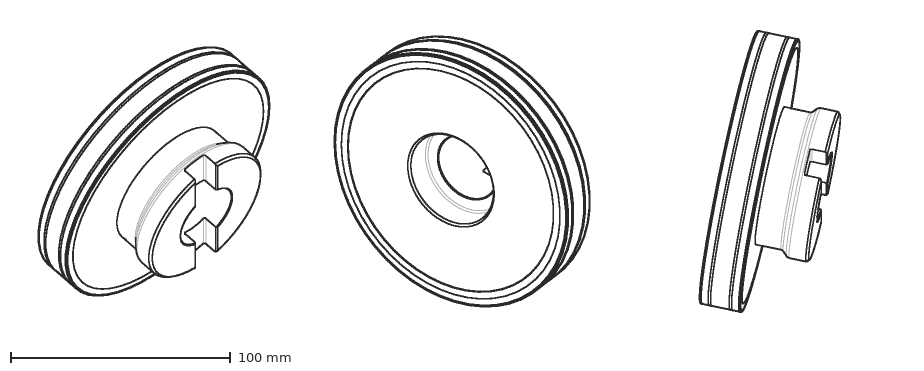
import cadquery as cq

DISC_D = 127.0
DISC_WIDTH = 19.0
FACE_RELIEF = 0.3
RIM_RELIEF = 0.06
FACE_RELIEF_D = 111.6
FACE_RELIEF_CHAMFER = 0.19
RIM_LAND = 5.2

RING_SIZE = 4.1
RING_LIP_INNER_D = 125.3
RING_LIP = (DISC_D - RING_LIP_INNER_D) / 2
RING_RELIEF = 0.06
RING_CHAMFER = 0.3

LENGTH = 44.5
NECK_D = 64.0
COLLAR_D = 69.8
NECK_END = 31.6
NECK_FILLET = 1.7
COLLAR_FILLET = 2.0
COLLAR_CHAMFER = 1.1

BORE_D = 31.8
BORE_CHAMFER = 0.4
RECESS_D = 45.0
RECESS_DEPTH = 14.0
RECESS_CHAMFER = 1.0
RECESS_FILLET = 0.9

SLOT_WIDTH = 12.7
SLOT_DEPTH = 8.1
SLOT_FILLET = 0.8
SLOT_MOUTH_CHAMFER = 0.6


def cylinder(start, end, diameter):
    """Solid cylinder about the X axis between two X positions."""
    return cq.Workplane("YZ", origin=(start, 0, 0)).circle(diameter / 2).extrude(end - start)


def tube(start, end, outer_d, inner_d):
    """Plain tube about the X axis between two X positions."""
    return cylinder(start, end, outer_d).cut(cylinder(start, end, inner_d))


def circle_edges(x, diameter):
    """Selector for the circular edge of a given diameter lying at X = x."""
    reach = diameter / 2 + 0.01
    inner = diameter / 2 - 0.01
    outer_box = cq.selectors.BoxSelector((x - 0.01, -reach, -reach), (x + 0.01, reach, reach), True)
    inner_box = cq.selectors.BoxSelector((x - 0.01, -inner, -inner), (x + 0.01, inner, inner), True)
    return outer_box - inner_box


def make_hub_blank():
    """Disc, neck, cone and collar turned about the X axis."""
    neck_r = NECK_D / 2
    collar_r = COLLAR_D / 2
    cone_end = NECK_END + collar_r - neck_r
    profile = [
        (0, 0),
        (0, DISC_D / 2),
        (DISC_WIDTH, DISC_D / 2),
        (DISC_WIDTH, neck_r),
        (NECK_END, neck_r),
        (cone_end, collar_r),
        (LENGTH, collar_r),
        (LENGTH, 0),
    ]
    blank = cq.Workplane("XY").polyline(profile).close().revolve(360, (0, 0, 0), (1, 0, 0))
    blank = blank.edges(circle_edges(NECK_END, NECK_D)).fillet(NECK_FILLET)
    blank = blank.edges(circle_edges(cone_end, COLLAR_D)).fillet(COLLAR_FILLET)
    return blank.edges(circle_edges(LENGTH, COLLAR_D)).chamfer(COLLAR_CHAMFER)


def cut_reliefs(body):
    """Shallow reliefs in the middle of the front face and of the rim."""
    body = body.cut(cylinder(0, FACE_RELIEF, FACE_RELIEF_D))
    body = body.edges(circle_edges(0, FACE_RELIEF_D)).chamfer(FACE_RELIEF_CHAMFER)
    rim_relief = tube(RIM_LAND, DISC_WIDTH - RIM_LAND, DISC_D, DISC_D - 2 * RIM_RELIEF)
    return body.cut(rim_relief)


def cut_bore(body):
    """Through bore with a wider recess in the front face."""
    body = body.cut(cylinder(0, LENGTH, BORE_D))
    body = body.cut(cylinder(0, RECESS_DEPTH, RECESS_D))
    body = body.edges(circle_edges(FACE_RELIEF, RECESS_D)).chamfer(RECESS_CHAMFER)
    body = body.edges(circle_edges(RECESS_DEPTH, RECESS_D)).fillet(RECESS_FILLET)
    for x in (RECESS_DEPTH, LENGTH):
        body = body.edges(circle_edges(x, BORE_D)).chamfer(BORE_CHAMFER)
    return body


def cut_slot(body):
    """Driving slot through the rear end of the hub, with rounded floor corners and a chamfered mouth."""
    floor = LENGTH - SLOT_DEPTH
    half = SLOT_WIDTH / 2
    flare = half + SLOT_MOUTH_CHAMFER
    profile = [
        (floor, -half),
        (LENGTH - SLOT_MOUTH_CHAMFER, -half),
        (LENGTH, -flare),
        (LENGTH, flare),
        (LENGTH - SLOT_MOUTH_CHAMFER, half),
        (floor, half),
    ]
    slot = cq.Workplane("XY").polyline(profile).close().extrude(COLLAR_D / 2, both=True)
    return body.cut(slot.edges("<X and |Z").fillet(SLOT_FILLET))


def cut_ring_seats(body):
    """Square rebates in both disc edges for the corner rings."""
    for start in (0, DISC_WIDTH - RING_SIZE):
        body = body.cut(tube(start, start + RING_SIZE, DISC_D, DISC_D - 2 * RING_SIZE))
    return body


def make_front_ring():
    """Front corner ring: a slim chamfered lip stands proud along its exposed corner."""
    outer_r = DISC_D / 2
    inner_r = outer_r - RING_SIZE
    lip_r = RING_LIP_INNER_D / 2
    profile = [
        (RING_RELIEF, inner_r),
        (RING_RELIEF, lip_r),
        (0, lip_r),
        (0, outer_r - RING_CHAMFER),
        (RING_CHAMFER, outer_r),
        (RING_LIP, outer_r),
        (RING_LIP, outer_r - RING_RELIEF),
        (RING_SIZE, outer_r - RING_RELIEF),
        (RING_SIZE, inner_r),
    ]
    return cq.Workplane("XY").polyline(profile).close().revolve(360, (0, 0, 0), (1, 0, 0))


def make_rings():
    """The front ring and its mirror image on the rear edge of the disc."""
    rings = []
    for mirrored in (False, True):
        ring = make_front_ring()
        if mirrored:
            ring = ring.mirror("YZ", (DISC_WIDTH / 2, 0, 0))
        rings.append(ring.val())
    return rings


hub = cut_ring_seats(cut_slot(cut_bore(cut_reliefs(make_hub_blank()))))

rings = make_rings()

result = cq.Compound.makeCompound([hub.val(), *rings])